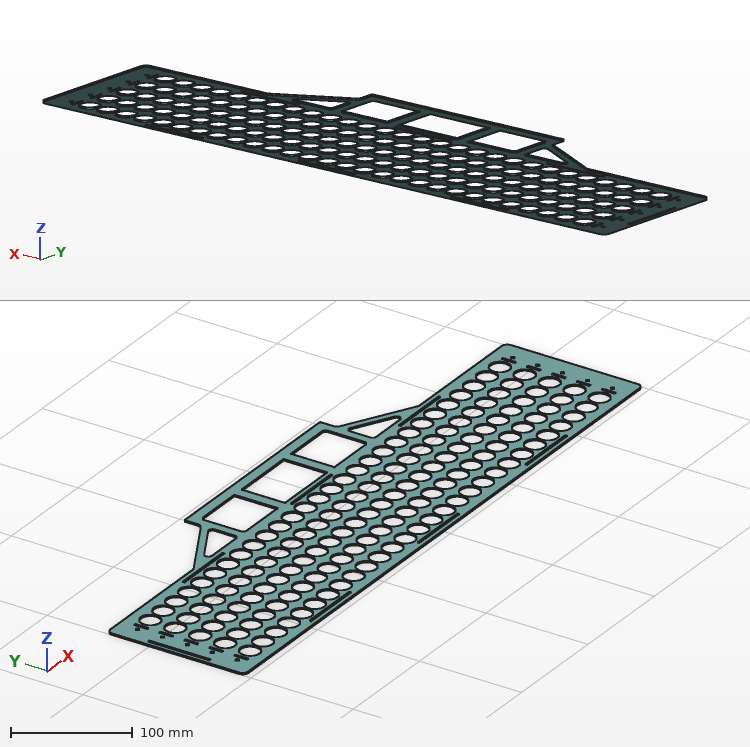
import cadquery as cq
import math

plate_length = 600.0
plate_width = 135.0
thickness = 1.6
plate_corner_radius = 5.5
plate_mid_y = plate_width / 2

hole_diameter = 18.5
hole_columns = 28
hole_rows = 5
column_span = 526.0
row_span = 98.0
column_pitch = column_span / (hole_columns - 1)
row_pitch = row_span / (hole_rows - 1)

pin_hole_diameter = 3.0
pin_hole_x = 282.5
row_slot_x = 276.5
row_slot_length = 12.5

slot_width = 2.0
edge_slot_length = 60.0
edge_slot_inset = 5.5
edge_slot_pitch = 162.5

handle_top = 188.0
handle_half_width = 102.0
top_rail = 10.0
outer_post = 9.0
window_top = handle_top - top_rail
middle_window_half_width = 32.0
inner_post = 11.0
side_window_inner_x = middle_window_half_width + inner_post
side_window_outer_x = handle_half_width - outer_post
window_radius = 3.5

brace_foot_x = 170.0
brace_top = 171.5
brace_width = 6.5
brace_window_radius = 3.5
brace_root_radius = 6.0


def mirrored(shape):
    """Return the shape together with its copy on the other side of the YZ plane."""
    return shape.union(shape.mirror("YZ"))


def block(x_min, x_max, y_min, y_max):
    """Full-thickness rectangular block between the given edges."""
    return cq.Workplane("XY").box(
        x_max - x_min, y_max - y_min, thickness, centered=False
    ).translate((x_min, y_min, 0))


def prism(points):
    """Full-thickness prism over a closed polygon."""
    return cq.Workplane("XY").polyline(points).close().extrude(thickness)


def make_plate():
    half_length = plate_length / 2
    plate = block(-half_length, half_length, 0, plate_width)
    return plate.edges("|Z").fillet(plate_corner_radius)


def make_handle():
    """Handle outline with its two braces, reaching down to the middle of the plate."""
    handle = prism([
        (-handle_half_width, plate_mid_y),
        (-handle_half_width, plate_width),
        (-brace_foot_x, plate_width),
        (-handle_half_width, brace_top),
        (-handle_half_width, handle_top),
        (handle_half_width, handle_top),
        (handle_half_width, brace_top),
        (brace_foot_x, plate_width),
        (handle_half_width, plate_width),
        (handle_half_width, plate_mid_y),
    ])
    for root_x in (-handle_half_width, handle_half_width):
        root = cq.selectors.NearestToPointSelector((root_x, brace_top, thickness / 2))
        handle = handle.edges("|Z").edges(root).fillet(brace_root_radius)
    return handle


def make_windows():
    """Square-cornered middle window and side windows rounded at their outer corners."""
    middle = block(-middle_window_half_width, middle_window_half_width, plate_width, window_top)
    side = block(side_window_inner_x, side_window_outer_x, plate_width, window_top)
    side = side.edges("|Z and >X").fillet(window_radius)
    return middle.union(mirrored(side))


def make_brace_windows():
    """Triangular openings whose sloping side runs parallel to the brace."""
    run = brace_foot_x - handle_half_width
    rise = brace_top - plate_width
    slope_length = math.hypot(run, rise)
    tip_x = brace_foot_x - brace_width * slope_length / rise
    top_y = brace_top - brace_width * slope_length / run
    opening = prism([
        (handle_half_width, plate_width),
        (tip_x, plate_width),
        (handle_half_width, top_y),
    ])
    return mirrored(opening.edges("|Z").fillet(brace_window_radius))


def cut_hole_grid(part):
    holes = (
        cq.Workplane("XY", origin=(0, plate_mid_y, 0))
        .rarray(column_pitch, row_pitch, hole_columns, hole_rows)
        .circle(hole_diameter / 2)
        .extrude(thickness)
    )
    return part.cut(holes)


def cut_row_ends(part):
    base = cq.Workplane("XY", origin=(0, plate_mid_y, 0))
    pin_holes = (
        base.rarray(2 * pin_hole_x, row_pitch, 2, hole_rows)
        .circle(pin_hole_diameter / 2)
        .extrude(thickness)
    )
    slots = (
        base.rarray(2 * row_slot_x, row_pitch, 2, hole_rows)
        .rect(slot_width, row_slot_length)
        .extrude(thickness)
    )
    return part.cut(pin_holes).cut(slots)


def cut_edge_slots(part):
    """Three slots along each long edge and one along the left edge."""
    base = cq.Workplane("XY", origin=(0, plate_mid_y, 0))
    long_edge_slots = (
        base.rarray(edge_slot_pitch, plate_width - 2 * edge_slot_inset, 3, 2)
        .rect(edge_slot_length, slot_width)
        .extrude(thickness)
    )
    left_slot = (
        base.center(edge_slot_inset - plate_length / 2, 0)
        .rect(slot_width, edge_slot_length)
        .extrude(thickness)
    )
    return part.cut(long_edge_slots).cut(left_slot)


result = make_plate().union(make_handle())
result = result.cut(make_windows()).cut(make_brace_windows())
result = cut_hole_grid(result)
result = cut_row_ends(result)
result = cut_edge_slots(result)